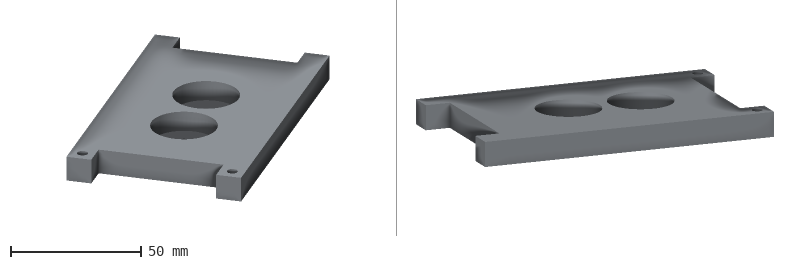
import cadquery as cq

length = 120.0
width = 70.0
thickness = 10.0

prong = 10.0
notch_width = width - 2 * prong

bore_diameter = 11.0
counterbore_diameter = 26.0
counterbore_depth = 8.0
bore_spacing = 30.0
front_bore_y = -19.0

pin_diameter = 4.2
pin_x = (width - prong) / 2
pin_y = -(length - prong) / 2


def make_plate():
    """Plate lying on Z = 0 with a notch centred in each end."""
    plate = cq.Workplane("XY").box(width, length, thickness, centered=(True, True, False))
    for end in (-1, 1):
        notch = (
            cq.Workplane("XY")
            .box(notch_width, 2 * prong, thickness, centered=(True, True, False))
            .translate((0, end * length / 2, 0))
        )
        plate = plate.cut(notch)
    return plate


def add_counterbored_holes(plate):
    """Two through holes, recessed from the top face."""
    centres = [(0, front_bore_y), (0, front_bore_y + bore_spacing)]
    return (
        plate.faces(">Z")
        .workplane(origin=(0, 0, thickness))
        .pushPoints(centres)
        .cboreHole(bore_diameter, counterbore_diameter, counterbore_depth)
    )


def add_pin_holes(plate):
    """One vertical through hole in the middle of each front prong."""
    return (
        plate.faces(">Z")
        .workplane(origin=(0, 0, thickness))
        .pushPoints([(-pin_x, pin_y), (pin_x, pin_y)])
        .hole(pin_diameter)
    )


result = add_pin_holes(add_counterbored_holes(make_plate()))